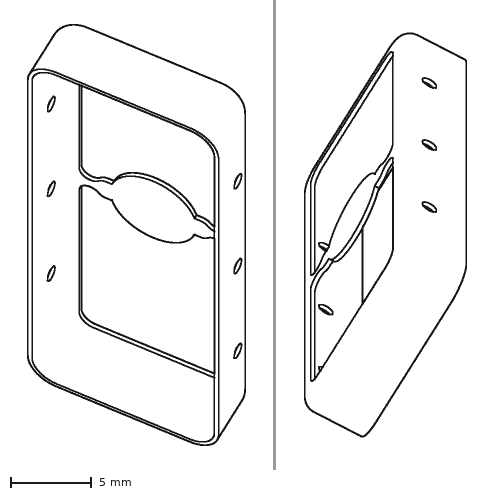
import cadquery as cq

width = 13.3
depth = 4.4
height = 33.3
corner_radius = 2.0
rim_radius = 1.0
wall = 0.3

floor_border = 1.5
window_radius = 1.0

disc_radius = 3.0
arm_half_height = 0.85
neck_half_height = 0.35
notch_radius = 0.75
arm_edge_radius = 0.65

hole_diameter = 1.0
hole_count = 3
hole_pitch = 9.0
hole_from_floor = 1.75

window_width = width - 2 * floor_border
window_height = height - 2 * floor_border


def rounded_block(x_size, z_size, y_front, y_back, radius):
    """Block from y_front to y_back with rounded edges along Y."""
    block = cq.Workplane("XY").box(x_size, y_back - y_front, z_size)
    return block.translate((0, (y_front + y_back) / 2, 0)).edges("|Y").fillet(radius)


def make_shell():
    outer = rounded_block(width, height, 0, depth, corner_radius)
    outer = outer.faces(">Y").edges().fillet(rim_radius)
    cavity = rounded_block(
        width - 2 * wall, height - 2 * wall, 0, depth - wall, corner_radius - wall
    )
    cavity = cavity.faces(">Y").edges().fillet(rim_radius - wall)
    window = rounded_block(window_width, window_height, 0, depth, window_radius)
    return outer.cut(cavity).cut(window)


def make_arm(side):
    """Arm from the disc to one long wall, thinned to a neck beside the frame."""
    frame_x = window_width / 2
    notch_x = frame_x - notch_radius
    notch_z = neck_half_height + notch_radius
    round_z = arm_half_height - arm_edge_radius
    center_gap = notch_radius + arm_edge_radius
    round_x = notch_x - (center_gap**2 - (notch_z - round_z) ** 2) ** 0.5
    blend = notch_radius / center_gap
    blend_x = notch_x + (round_x - notch_x) * blend
    blend_z = notch_z + (round_z - notch_z) * blend
    half = (
        cq.Workplane("XZ", origin=(0, depth, 0))
        .moveTo(0, 0)
        .lineTo(0, arm_half_height)
        .lineTo(round_x, arm_half_height)
        .radiusArc((blend_x, blend_z), arm_edge_radius)
        .radiusArc((notch_x, neck_half_height), -notch_radius)
        .radiusArc((frame_x, notch_z), -notch_radius)
        .lineTo(frame_x, 0)
        .close()
        .extrude(wall)
    )
    arm = half.union(half.mirror("XY"))
    return arm if side > 0 else arm.mirror("YZ")


def make_disc():
    return cq.Workplane("XZ", origin=(0, depth, 0)).circle(disc_radius).extrude(wall)


def make_cross_holes():
    return (
        cq.Workplane("YZ", origin=(-width / 2, depth - hole_from_floor, 0))
        .rarray(0.33, hole_pitch, 1, hole_count)
        .circle(hole_diameter / 2)
        .extrude(width)
    )


result = make_shell().union(make_disc())
for side in (-1, 1):
    result = result.union(make_arm(side))
result = result.cut(make_cross_holes())